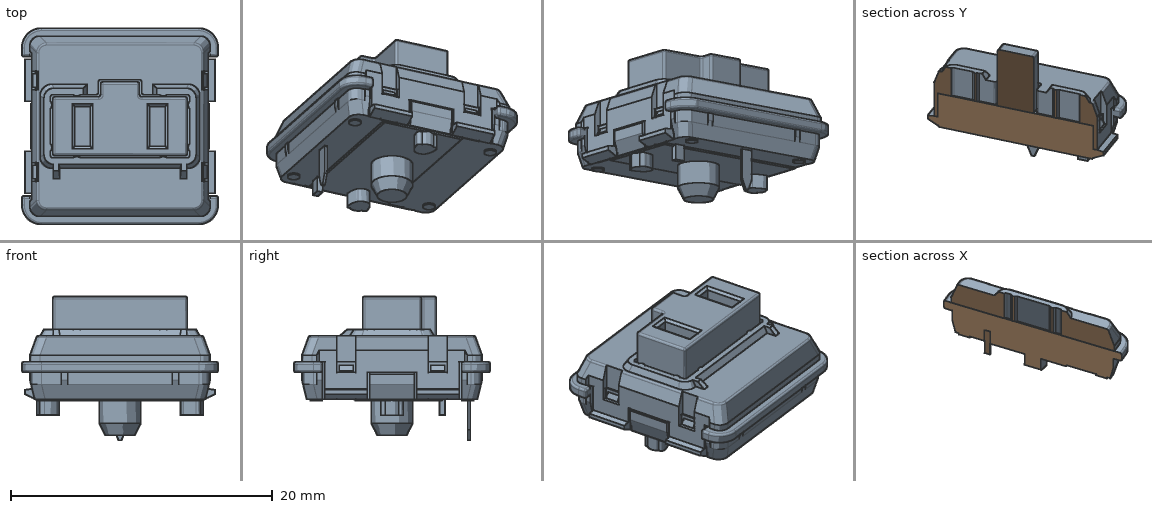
import cadquery as cq


pad_height = 0.12
panel_bottom = 1.26
rib_bottom = 1.62
flange_bottom = 2.18
flange_top = 3.0
shoulder_z = 3.5
deck_z = 4.98
collar_z = 5.48
stem_top = 8.0
post_end = -1.08
boss_cone_start = -1.71
boss_end = -2.62
pin_tip = -3.0

flange_half = 7.5
flange_radius = 1.5
edge_round = 0.18
waist_half = 6.88
waist_radius = 0.75
deck_half = 6.35
floor_half = 6.52
base_radius = 0.8
deck_round = 0.2
base_lean = (waist_half - floor_half) / (rib_bottom - pad_height)
panel_half = floor_half + base_lean * (panel_bottom - pad_height)

skirt_outer = 6.75
skirt_inner = 6.45
skirt_half = 5.13
skirt_bottom = 0.93
seat_mouth_half = 5.31
block_half = 1.9
block_face_half = 1.71
block_face_top = 2.05
side_cut_half = 5.56
side_cut_mouth = 5.75
root = 0.15
beyond = 9.0

latch_y = 3.5
latch_slot_width = 1.42
latch_width = 1.05
latch_slot_x = 6.25
latch_wall_x = 6.36
latch_tip_x = 6.66
latch_bottom = 2.31
latch_top = 2.72

stem_half_x = 5.15
stem_half_y = 2.25
key_half_x = 1.48
key_end_y = 3.39
stem_gap = 0.16
bump_radius = 0.4
bump_height = 0.1
socket_x = 2.86
socket_length_x = 1.59
socket_length_y = 3.44
socket_lead = 0.21
socket_depth = 3.0

collar_half_x = 6.1
collar_half_y = 3.21
collar_inset = 0.3
collar_radius = 0.9
collar_gap_half = 2.49
gusset_inner_x = 4.59
gusset_outer_x = 5.08
gusset_draft = 0.08
gusset_crest_y = -3.4
gusset_toe_y = -3.99

boss_radius = 3.2 / 2
boss_end_radius = 1.12
post_outer_x = 6.36
post_inner_x = 4.64
post_bulge_half = 0.51
post_outer_edge_x = 6.14
post_inner_edge_x = 4.85
post_broad_x = 5.79
post_half = 0.82
post_shoulder = (6.09, 0.75)
post_flank = (5.32, 0.75)
foot_x = 5.22
foot_y = 5.78
foot_diameter = 0.93
pad_half_x = 6.42
pad_front_y = -2.88
pad_back_y = 3.88
pad_bevel = 0.1

long_pin_width = 0.9
pin_root_z = 1.2
long_pin_y = 5.88
long_pin_thickness = 0.21
long_pin_taper_z = -2.2
long_pin_tip_width = 0.24
short_pin_x = 5.01
short_pin_width = 0.81
short_pin_y = 3.84
short_pin_thickness = 0.45


def box(x0, x1, y0, y1, z0, z1):
    """Box between two opposite corners."""
    return cq.Workplane("XY").box(x1 - x0, y1 - y0, z1 - z0, centered=False).translate((x0, y0, z0))


def rounded_plate(half_x, half_y, radius, z0, z1):
    """Upright plate with rounded corners."""
    plate = cq.Workplane("XY").workplane(offset=z0).rect(2 * half_x, 2 * half_y).extrude(z1 - z0)
    return plate.edges("|Z").fillet(radius)


def leaning_block(half_low, half_high, radius, z0, z1):
    """Square block with leaning walls and a constant corner radius."""
    low = cq.Sketch().rect(2 * half_low, 2 * half_low).vertices().fillet(radius)
    high = cq.Sketch().rect(2 * half_high, 2 * half_high).vertices().fillet(radius)
    high = high.moved(cq.Location(cq.Vector(0, 0, z1 - z0)))
    return cq.Workplane("XY").placeSketch(low, high).loft().translate((0, 0, z0))


def on_both_sides(shape):
    """The shape together with its copy mirrored to the other X side."""
    return shape.union(shape.mirror("YZ"))


def on_four_sides(shape):
    """The shape together with its copies mirrored in X and in Y."""
    pair = on_both_sides(shape)
    return pair.union(pair.mirror("XZ"))


def side_trapezoid(x0, half0, x1, half1, z0, z1):
    """Upright trapezoid on the +X side, from half width half0 at x0 to half1 at x1."""
    outline = [(x0, -half0), (x1, -half1), (x1, half1), (x0, half0)]
    return cq.Workplane("XY").workplane(offset=z0).polyline(outline).close().extrude(z1 - z0)


def side_cutter(x_floor, half_floor, x_mouth, half_mouth, z0, z1):
    """Flared recess in the +X side, straight beyond its mouth."""
    flare = side_trapezoid(x_floor, half_floor, x_mouth, half_mouth, z0, z1)
    return flare.union(box(x_mouth, beyond, -half_mouth, half_mouth, z0, z1))


def side_profile(points, y0, y1):
    """X-Z outline swept along Y from y0 to y1."""
    return cq.Workplane("XZ", origin=(0, y0, 0)).polyline(points).close().extrude(y0 - y1)


def base_shell():
    """Leaning floor, recessed wall panels, standing ribs and flange."""
    rib_inner, rib_outer = 4.0, 4.47
    shell = leaning_block(floor_half, panel_half, base_radius, pad_height, panel_bottom)
    shell = shell.union(rounded_plate(panel_half, panel_half, base_radius, panel_bottom, flange_top))
    full = leaning_block(floor_half, waist_half, base_radius, pad_height, rib_bottom)
    full = full.union(rounded_plate(waist_half, waist_half, base_radius, rib_bottom, flange_top))
    rib_zone = on_both_sides(box(rib_inner, rib_outer, -beyond, beyond, pad_height, flange_top))
    side_zone = box(floor_half, beyond, -side_cut_mouth, side_cut_mouth, pad_height, flange_top)
    rib_zone = rib_zone.union(on_both_sides(side_zone))
    flange = rounded_plate(flange_half, flange_half, flange_radius, flange_bottom, flange_top)
    flange = flange.faces("<Z or >Z").edges().fillet(edge_round)
    flange = flange.cut(on_both_sides(
        box(waist_half, beyond, -seat_mouth_half, seat_mouth_half, flange_bottom, flange_top)))
    flange = flange.edges("|Z").edges("<X or >X").fillet(edge_round)
    return shell.union(full.intersect(rib_zone)).union(flange)


def base_side_block():
    """Bevelled block standing between the two skirt seats of the +X side."""
    block = side_profile(
        [(skirt_inner - root, pad_height), (floor_half, pad_height), (panel_half, panel_bottom),
         (panel_half, block_face_top), (skirt_outer, flange_bottom), (skirt_inner - root, flange_bottom)],
        -block_half, block_half)
    bevel = side_trapezoid(skirt_inner - root, block_half, skirt_inner, block_half, pad_height, flange_bottom)
    bevel = bevel.union(
        side_trapezoid(skirt_inner, block_half, floor_half, block_face_half, pad_height, flange_bottom))
    bevel = bevel.union(
        side_trapezoid(floor_half, block_face_half, panel_half, block_face_half, pad_height, flange_bottom))
    return block.intersect(bevel)


def mounting_tab():
    """Snap tab that holds the switch in a plate, +X +Y corner."""
    tab_tip_x = 7.26
    tab_tip_bottom, tab_tip_top = 0.52, 0.85
    return side_profile(
        [(skirt_inner - root, pad_height), (skirt_inner, pad_height), (tab_tip_x, tab_tip_bottom),
         (tab_tip_x, tab_tip_top), (skirt_outer, skirt_bottom), (skirt_inner - root, skirt_bottom)],
        block_half, skirt_half)


def latch_slot():
    """Thin through slot between base wall and skirt, +X +Y corner."""
    return box(latch_wall_x, skirt_inner, latch_y - latch_slot_width / 2, latch_y + latch_slot_width / 2,
               0, flange_top)


def latch():
    """Wedge on the base wall that snaps into the skirt window, +X +Y corner."""
    return side_profile(
        [(latch_wall_x - root, latch_bottom), (latch_tip_x, latch_bottom), (latch_wall_x, latch_top),
         (latch_wall_x - root, latch_top)],
        latch_y - latch_width / 2, latch_y + latch_width / 2)


def standing_pads():
    """Broad bevelled pad and four round feet under the base."""
    pad = box(-pad_half_x, pad_half_x, pad_front_y, pad_back_y, 0, pad_height)
    pad = pad.faces("<Z").edges().chamfer(pad_bevel)
    foot = cq.Workplane("XY").center(foot_x, foot_y).circle(foot_diameter / 2).extrude(pad_height)
    return pad.union(on_four_sides(foot))


def locating_boss():
    """Central boss with a conical end."""
    return (cq.Workplane("XZ")
            .polyline([(0, pad_height), (boss_radius, pad_height), (boss_radius, boss_cone_start),
                       (boss_end_radius, boss_end), (0, boss_end)])
            .close().revolve(360, (0, 0), (0, 1)))


def side_post():
    """Locating post on the +X side, bounded by six arcs."""
    outline = (
        cq.Workplane("XY").workplane(offset=post_end)
        .moveTo(post_outer_edge_x, -post_bulge_half)
        .threePointArc((post_outer_x, 0), (post_outer_edge_x, post_bulge_half))
        .threePointArc(post_shoulder, (post_broad_x, post_half))
        .threePointArc(post_flank, (post_inner_edge_x, post_bulge_half))
        .threePointArc((post_inner_x, 0), (post_inner_edge_x, -post_bulge_half))
        .threePointArc((post_flank[0], -post_flank[1]), (post_broad_x, -post_half))
        .threePointArc((post_shoulder[0], -post_shoulder[1]), (post_outer_edge_x, -post_bulge_half))
        .close())
    return outline.extrude(pad_height - post_end)


def make_base():
    base = base_shell()
    seat = side_cutter(skirt_inner, skirt_half, floor_half, seat_mouth_half, pad_height, flange_top)
    base = base.cut(on_both_sides(seat))
    base = base.union(on_both_sides(base_side_block()))
    base = base.union(on_four_sides(mounting_tab()))
    base = base.union(standing_pads()).union(locating_boss())
    base = base.cut(on_four_sides(latch_slot())).union(on_four_sides(latch()))
    return base.union(on_both_sides(side_post()))


def stem_outline(grow, z0, z1):
    """T-shaped stem prism, enlarged all round by grow."""
    bar = box(-stem_half_x - grow, stem_half_x + grow, -stem_half_y - grow, stem_half_y + grow, z0, z1)
    key = box(-key_half_x - grow, key_half_x + grow, 0, key_end_y + grow, z0, z1)
    return bar.union(key).edges("|Z").fillet(edge_round)


def keycap_socket(x):
    """Rectangular blind socket with a sloped lead-in."""
    floor_x = socket_length_x - 2 * socket_lead
    floor_y = socket_length_y - 2 * socket_lead
    top = cq.Workplane("XY").workplane(offset=stem_top).center(x, 0)
    lead = top.rect(socket_length_x, socket_length_y).workplane(offset=-socket_lead).rect(
        floor_x, floor_y).loft(ruled=True)
    hole = top.rect(floor_x, floor_y).extrude(-socket_depth)
    return lead.union(hole)


def make_stem():
    stem = stem_outline(0, flange_top, stem_top).faces(">Z").edges().fillet(edge_round)
    for x in (-socket_x, socket_x):
        stem = stem.cut(keycap_socket(x))
    return stem


def cap_shell():
    """Straight waist, leaning walls with a rounded top rim, and flat cuts on both X sides."""
    waist = rounded_plate(waist_half, waist_half, waist_radius, flange_top, shoulder_z)
    roof = leaning_block(waist_half, deck_half, waist_radius, shoulder_z, deck_z)
    roof = roof.faces(">Z").edges().fillet(deck_round)
    side_cut = side_cutter(skirt_outer, side_cut_half, waist_half, side_cut_mouth, flange_top, deck_z)
    return waist.union(roof).cut(on_both_sides(side_cut))


def cap_skirt():
    """Skirt hanging from the +X side of the cap, notched for the centre block of the base."""
    skirt = box(skirt_inner, skirt_outer, -skirt_half, skirt_half, skirt_bottom, flange_top)
    return skirt.cut(box(skirt_inner, skirt_outer, -block_half, block_half, skirt_bottom, flange_bottom))


def latch_window():
    """Slot down the cap side and window through the skirt, +X +Y corner."""
    y0 = latch_y - latch_slot_width / 2
    y1 = latch_y + latch_slot_width / 2
    slot = box(latch_slot_x, beyond, y0, y1, flange_top, deck_z)
    return slot.union(box(skirt_inner, beyond, y0, y1, flange_bottom, flange_top))


def collar():
    """Raised collar with sloped sides, open behind the stem key."""
    height = collar_z - deck_z
    low = cq.Sketch().rect(2 * collar_half_x, 2 * collar_half_y).vertices().fillet(collar_radius)
    high = (cq.Sketch().rect(2 * (collar_half_x - collar_inset), 2 * (collar_half_y - collar_inset))
            .vertices().fillet(collar_radius - collar_inset / 2))
    ring = cq.Workplane("XY").placeSketch(low, high.moved(cq.Location(cq.Vector(0, 0, height)))).loft()
    ring = ring.translate((0, 0, deck_z))
    gap = side_profile(
        [(-collar_gap_half, deck_z), (collar_gap_half, deck_z), (collar_gap_half + collar_inset, collar_z),
         (-collar_gap_half - collar_inset, collar_z)],
        stem_half_y, beyond)
    return ring.cut(gap)


def collar_gusset():
    """Small sloped gusset in front of the collar, +X side."""
    inner_y = -stem_half_y - stem_gap
    side = (cq.Workplane("YZ")
            .polyline([(inner_y, deck_z), (gusset_toe_y, deck_z),
                       (gusset_crest_y, collar_z), (inner_y, collar_z)])
            .close().extrude(beyond))
    section = side_profile(
        [(gusset_inner_x, deck_z), (gusset_outer_x, deck_z), (gusset_outer_x, collar_z),
         (gusset_inner_x + gusset_draft, collar_z)],
        gusset_toe_y, inner_y)
    return side.intersect(section)


def stem_opening():
    """Opening around the stem, less the guide bumps on its walls."""
    end_bump_y = 1.62
    long_bump_x = 3.3
    opening = stem_outline(stem_gap, flange_top, collar_z)
    sink = bump_radius - bump_height
    end_x = stem_half_x + stem_gap + sink
    long_y = stem_half_y + stem_gap + sink
    bump = (cq.Workplane("XY").workplane(offset=flange_top)
            .pushPoints([(end_x, end_bump_y), (long_bump_x, long_y)])
            .circle(bump_radius).extrude(collar_z - flange_top))
    return opening.cut(on_four_sides(bump))


def make_cap():
    cap = cap_shell().union(on_both_sides(cap_skirt())).union(collar())
    cap = cap.union(on_both_sides(collar_gusset()))
    return cap.cut(on_four_sides(latch_window())).cut(stem_opening())


def make_long_pin():
    """Thin contact pin with a tapered tip."""
    half = long_pin_width / 2
    tip = long_pin_tip_width / 2
    return side_profile(
        [(-half, pin_root_z), (half, pin_root_z), (half, long_pin_taper_z), (tip, pin_tip), (-tip, pin_tip),
         (-half, long_pin_taper_z)],
        long_pin_y - long_pin_thickness / 2, long_pin_y + long_pin_thickness / 2)


def make_short_pin():
    """Square-ended contact pin."""
    return box(short_pin_x - short_pin_width / 2, short_pin_x + short_pin_width / 2,
               short_pin_y - short_pin_thickness / 2, short_pin_y + short_pin_thickness / 2,
               post_end, pin_root_z)


long_pin = make_long_pin()
short_pin = make_short_pin()
base = make_base().cut(long_pin).cut(short_pin)
cap = make_cap()
stem = make_stem()

result = cq.Compound.makeCompound([
    body.solids().val() for body in (base, cap, stem, long_pin, short_pin)
])